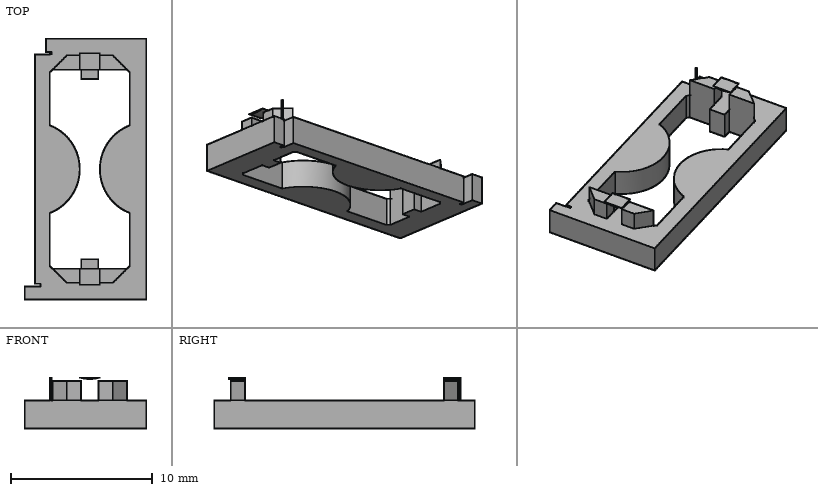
import cadquery as cq


length = 18.4
total_height = 3.6
base_height = 2.0
block_top = 3.37

right_x = 4.0
low_left_x = -4.6
middle_left_x = -3.88
high_left_x = -3.1
slot_depth = 0.4
slot_inner_y = 8.1
slot_outer_y = 8.26

opening_half_width = 2.82
opening_half_length = 7.01
corner_cut = 0.18
bulge_radius = 3.33
bulge_gap = 1.4

block_outer_y = 8.02
block_outer_half_width = 1.62
block_inner_half_width = opening_half_width - corner_cut
notch_width = 1.21
tab_length = 0.66

post_width = 0.13
post_thickness = 0.1

pad_width = 1.44
pad_sag = 0.11
pad_outer_y = 8.17


def make_base():
    """Base plate with stepped -X side and a narrow slot at each step."""
    half_length = length / 2
    outline = [
        (right_x, -half_length),
        (right_x, half_length),
        (high_left_x, half_length),
        (high_left_x, slot_outer_y),
        (high_left_x + slot_depth, slot_outer_y),
        (high_left_x + slot_depth, slot_inner_y),
        (middle_left_x, slot_inner_y),
        (middle_left_x, -slot_inner_y),
        (middle_left_x + slot_depth, -slot_inner_y),
        (middle_left_x + slot_depth, -slot_outer_y),
        (low_left_x, -slot_outer_y),
        (low_left_x, -half_length),
    ]
    return cq.Workplane("XY").polyline(outline).close().extrude(base_height)


def make_opening():
    """Through opening with cut corners, narrowed by a round bulge on each long side."""
    opening = (
        cq.Workplane("XY")
        .rect(2 * opening_half_width, 2 * opening_half_length)
        .extrude(base_height)
        .edges("|Z")
        .chamfer(corner_cut)
    )
    bulge_center_x = bulge_gap / 2 + bulge_radius
    bulges = (
        cq.Workplane("XY")
        .pushPoints([(-bulge_center_x, 0), (bulge_center_x, 0)])
        .circle(bulge_radius)
        .extrude(base_height)
    )
    return opening.cut(bulges)


def make_end_features():
    """Pair of raised blocks and the tab at the +Y end of the opening."""
    block_length = block_outer_y - opening_half_length
    blocks = (
        cq.Workplane("XY", origin=(0, 0, base_height))
        .moveTo(-block_inner_half_width, opening_half_length)
        .lineTo(block_inner_half_width, opening_half_length)
        .lineTo(block_outer_half_width, block_outer_y)
        .lineTo(-block_outer_half_width, block_outer_y)
        .close()
        .extrude(block_top - base_height)
    )
    notch = (
        cq.Workplane("XY", origin=(0, opening_half_length, base_height))
        .rect(notch_width, 2 * block_length)
        .extrude(block_top - base_height)
    )
    tab = cq.Workplane("XY", origin=(0, opening_half_length, 0)).box(
        notch_width, tab_length, base_height, centered=(True, False, False)
    ).translate((0, -tab_length, 0))
    return blocks.cut(notch), tab


def make_post():
    """Thin post in the blind corner of the +Y slot, rising to the full height."""
    post_x = high_left_x + slot_depth - post_width
    return cq.Workplane("XY", origin=(post_x, slot_inner_y, 0)).box(
        post_width, post_thickness, total_height, centered=False
    )


def make_housing():
    """Base, opening, end features and post as one solid."""
    housing = make_base().cut(make_opening())
    for feature in make_end_features():
        housing = housing.union(feature)
        housing = housing.union(feature.mirror("XZ"))
    return housing.union(make_post())


def make_pad(start_y):
    """Pad with a flat top and a shallow rounded underside, running along +Y."""
    return (
        cq.Workplane("XZ", origin=(0, start_y, 0))
        .moveTo(-pad_width / 2, total_height)
        .threePointArc((0, total_height - pad_sag), (pad_width / 2, total_height))
        .close()
        .extrude(-(pad_outer_y - opening_half_length))
    )


housing = make_housing()

pads = []
for pad_start_y in (-pad_outer_y, opening_half_length):
    pads.append(make_pad(pad_start_y).val())

result = cq.Compound.makeCompound([housing.val(), *pads])